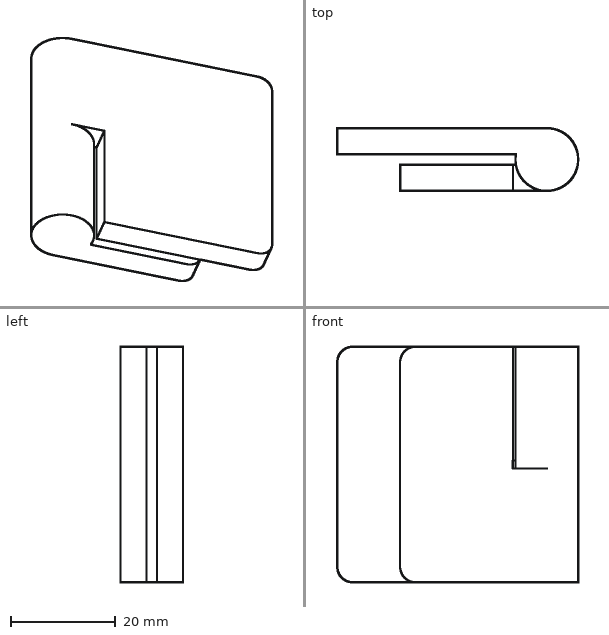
import cadquery as cq

total_length = 46.0
height = 45.0
barrel_diameter = 12.0
leaf_thickness = 5.0
leaf_offset = 12.0
corner_radius = 3.0
notch_reach = 6.5
notch_clearance = 0.75

barrel_radius = barrel_diameter / 2
axis_x = total_length - barrel_radius
notch_height = height / 2 + notch_clearance


def leaf(free_edge_x, front_y, notch_z):
    """Plate from its rounded free edge to the barrel axis, notched beside the other leaf's knuckle."""
    plate = (
        cq.Workplane("XY", origin=(free_edge_x, front_y, 0))
        .box(axis_x - free_edge_x, leaf_thickness, height, centered=False)
        .edges("|Y and <X")
        .fillet(corner_radius)
    )
    notch = cq.Workplane("XY", origin=(axis_x - notch_reach, front_y, notch_z)).box(
        notch_reach, leaf_thickness, notch_height, centered=False
    )
    return plate.cut(notch)


barrel = cq.Workplane("XY").center(axis_x, 0).circle(barrel_radius).extrude(height)
long_leaf = leaf(0, barrel_radius - leaf_thickness, 0)
short_leaf = leaf(leaf_offset, -barrel_radius, height - notch_height)

result = barrel.union(long_leaf).union(short_leaf)